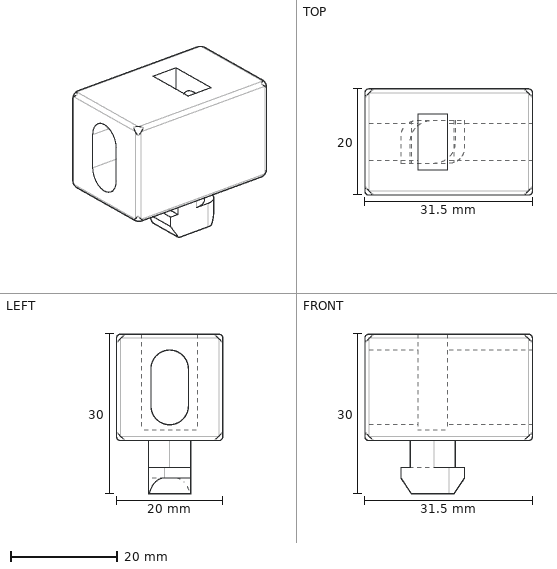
import cadquery as cq
import math

body_length = 31.5
body_width = 20.0
body_height = 20.0
edge_radius = 0.75
corner_setback = 1.5

slot_width = 7.0
slot_height = 14.0

foot_offset = -3.0
pocket_length = 5.5
pocket_width = 10.5
pocket_depth = 18.02

foot_width = 8.0
neck_length = 8.5
neck_height = 5.0
neck_radius = foot_width / 2
head_length = 12.0
head_height = 4.98
head_radius = 3.0
head_straight_height = 2.0
head_taper = 2.0

body_top = body_height / 2
body_bottom = -body_top
neck_bottom = body_bottom - neck_height
foot_bottom = neck_bottom - head_height


def make_corner_trims():
    """Material outside a ball that just touches the three rounded edges at each body corner."""
    ball_radius = math.sqrt(2) * (corner_setback - edge_radius) + edge_radius
    centres = (
        cq.Workplane("XY")
        .box(
            body_length - 2 * corner_setback,
            body_width - 2 * corner_setback,
            body_height - 2 * corner_setback,
        )
        .vertices()
    )
    trims = []
    for centre in centres.vals():
        x, y, z = centre.toTuple()
        middle = tuple(value + math.copysign(corner_setback / 2, value) for value in (x, y, z))
        cube = cq.Workplane("XY", origin=middle).box(corner_setback, corner_setback, corner_setback)
        ball = cq.Workplane("XY", origin=(x, y, z)).sphere(ball_radius)
        trims.append(cube.cut(ball))
    return trims


def make_body():
    block = cq.Workplane("XY").box(body_length, body_width, body_height).edges().fillet(edge_radius)
    for trim in make_corner_trims():
        block = block.cut(trim)
    return block


def make_slot():
    return cq.Workplane("YZ").slot2D(slot_height, slot_width, 90).extrude(body_length, both=True)


def make_pocket():
    return (
        cq.Workplane("XY", origin=(foot_offset, 0, body_top))
        .rect(pocket_length, pocket_width)
        .extrude(-pocket_depth)
    )


def foot_block(length, radius, bottom, height):
    """Upright block with two diagonally opposite corners rounded: -X/+Y and +X/-Y."""
    block = cq.Workplane("XY", origin=(foot_offset, 0, bottom)).rect(length, foot_width).extrude(height)
    return block.edges("|Z").edges("<(1, -1, 0) or >(1, -1, 0)").fillet(radius)


def make_head():
    half_length = head_length / 2
    half_tip = half_length - head_taper
    taper_top = neck_bottom - head_straight_height
    profile = (
        cq.Workplane("XZ", origin=(foot_offset, 0, 0))
        .moveTo(-half_length, neck_bottom)
        .lineTo(half_length, neck_bottom)
        .lineTo(half_length, taper_top)
        .lineTo(half_tip, foot_bottom)
        .lineTo(-half_tip, foot_bottom)
        .lineTo(-half_length, taper_top)
        .close()
        .extrude(foot_width, both=True)
    )
    return foot_block(head_length, head_radius, foot_bottom, head_height).intersect(profile)


body = make_body().cut(make_slot()).cut(make_pocket())
neck = foot_block(neck_length, neck_radius, neck_bottom, neck_height)
result = body.union(neck).union(make_head())